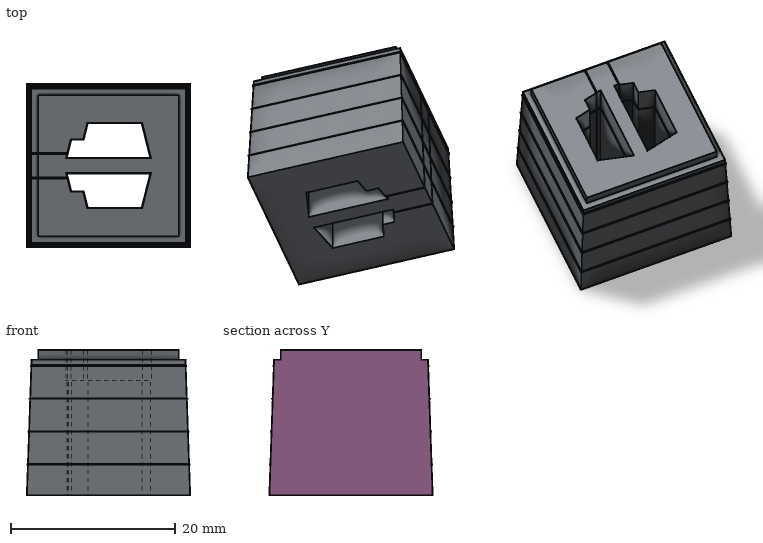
import cadquery as cq
import math

base_width = 19.9
total_height = 17.7
cap_height = 1.2
cap_width = 17.15
body_height = total_height - cap_height
side_taper = 2.0

ridge_height = 0.1
ridge_reach = 0.08
ridge_pitch = 4.0
lowest_ridge_z = 3.72
lower_ridge_count = 3
rim_ridge_z = 15.7
rim_ridge_height = 0.15

pocket_near = 0.9
pocket_notch = 3.2
pocket_far = 5.21
pocket_long_half = 5.17
pocket_side_slope = 0.25
notch_length = 1.51
ledge_width = 0.08
ledge_z = 13.97

slit_spacing = 2.98
slit_width = 0.12
slit_length = 5.57


def body_half_width(z):
    return base_width / 2 - z * math.tan(math.radians(side_taper))


def tapered_block(z_bottom, half_bottom, z_top, half_top):
    """Square frustum between two heights."""
    return (
        cq.Workplane("XY", origin=(0, 0, z_bottom))
        .rect(2 * half_bottom, 2 * half_bottom)
        .workplane(offset=z_top - z_bottom)
        .rect(2 * half_top, 2 * half_top)
        .loft(ruled=True)
    )


def ridge(z_low, height):
    """Thin square collar with a sloped top and a flat underside."""
    z_high = z_low + height
    half_low = body_half_width(z_low) + ridge_reach
    return tapered_block(z_low, half_low, z_high, body_half_width(z_high))


def pocket_outline():
    """Tapering outline on the +Y side with a notched outer corner toward -X."""
    def side_x(y):
        return pocket_long_half - (y - pocket_near) * pocket_side_slope

    return [
        (-side_x(pocket_near), pocket_near),
        (side_x(pocket_near), pocket_near),
        (side_x(pocket_far), pocket_far),
        (-side_x(pocket_far) + notch_length, pocket_far),
        (-side_x(pocket_notch) + notch_length, pocket_notch),
        (-side_x(pocket_notch), pocket_notch),
    ]


def pocket():
    """Pocket that narrows to a small ledge part of the way down."""
    upper = (
        cq.Workplane("XY", origin=(0, 0, ledge_z))
        .polyline(pocket_outline())
        .close()
        .extrude(total_height - ledge_z)
    )
    lower = (
        cq.Workplane("XY")
        .polyline(pocket_outline())
        .close()
        .offset2D(-ledge_width)
        .extrude(ledge_z)
    )
    return upper.union(lower)


def slit(y):
    """Thin full-height cut from the -X side into a pocket."""
    return (
        cq.Workplane("XY", origin=(-base_width / 2, y, 0))
        .box(slit_length, slit_width, total_height, centered=(False, True, False))
    )


body = tapered_block(0, base_width / 2, body_height, body_half_width(body_height))
cap = (
    cq.Workplane("XY", origin=(0, 0, body_height))
    .rect(cap_width, cap_width)
    .extrude(cap_height)
)
result = body.union(cap)

for i in range(lower_ridge_count):
    result = result.union(ridge(lowest_ridge_z + i * ridge_pitch, ridge_height))
result = result.union(ridge(rim_ridge_z, rim_ridge_height))

back_pocket = pocket()
front_pocket = back_pocket.mirror("XZ")
result = result.cut(back_pocket).cut(front_pocket)
for side in (-1, 1):
    result = result.cut(slit(side * slit_spacing / 2))